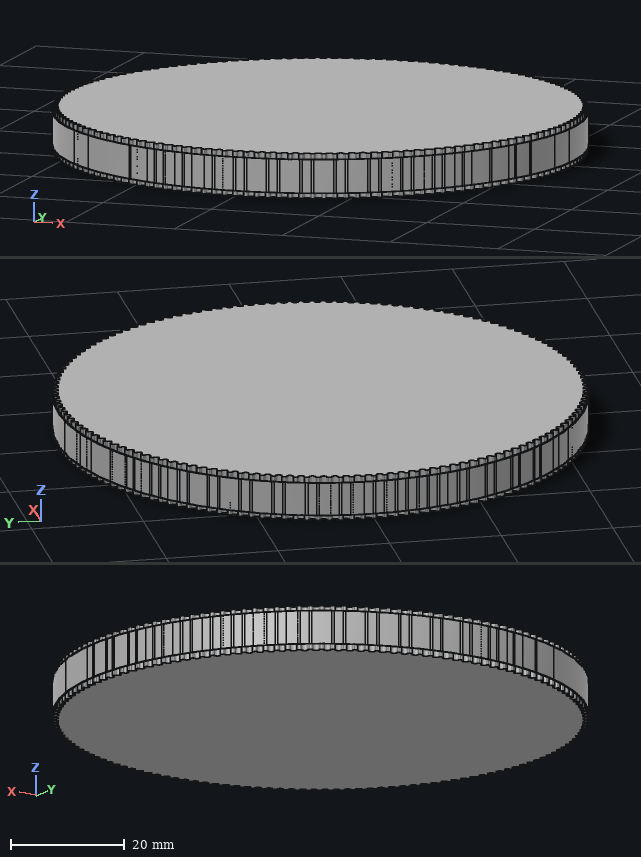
import cadquery as cq
import math

outer_diameter = 94.2
height = 8.0
tooth_count = 148
ring_height = 6.0
ring_thickness = 0.25
groove_radius = 0.6
tip_round = 0.21

outer_radius = outer_diameter / 2
tip_radius = outer_radius - ring_thickness
pitch_angle = 2 * math.pi / tooth_count
half_opening = groove_radius + tip_round
mouth_radius = math.sqrt(tip_radius**2 - half_opening**2)
bowl_center = mouth_radius - tip_round
floor_radius = bowl_center - groove_radius


def turned(radial, sideways, angle):
    """Point given along and across the radius at an angle, in X and Y."""
    return (
        radial * math.cos(angle) - sideways * math.sin(angle),
        radial * math.sin(angle) + sideways * math.cos(angle),
    )


def toothed_disc():
    """Disc with round-bottomed grooves and rounded tooth tips through its full height."""
    round_middle = tip_round * (1 - math.sqrt(0.5))
    outline = cq.Workplane("XY").moveTo(*turned(mouth_radius, -half_opening, pitch_angle / 2))
    for index in range(tooth_count):
        groove = (index + 0.5) * pitch_angle
        next_tooth = groove + pitch_angle / 2
        next_groove = groove + pitch_angle
        outline = (
            outline
            .threePointArc(
                turned(mouth_radius - round_middle, -groove_radius - round_middle, groove),
                turned(bowl_center, -groove_radius, groove),
            )
            .threePointArc(
                turned(floor_radius, 0, groove),
                turned(bowl_center, groove_radius, groove),
            )
            .threePointArc(
                turned(mouth_radius - round_middle, groove_radius + round_middle, groove),
                turned(mouth_radius, half_opening, groove),
            )
            .threePointArc(
                turned(tip_radius, 0, next_tooth),
                turned(mouth_radius, -half_opening, next_groove),
            )
        )
    return outline.close().extrude(height)


def closing_ring():
    """Thin ring around the tooth tips that closes the grooves between the two end bands."""
    return (
        cq.Workplane("XY", origin=(0, 0, (height - ring_height) / 2))
        .circle(outer_radius)
        .circle(tip_radius)
        .extrude(ring_height)
    )


result = toothed_disc().union(closing_ring())